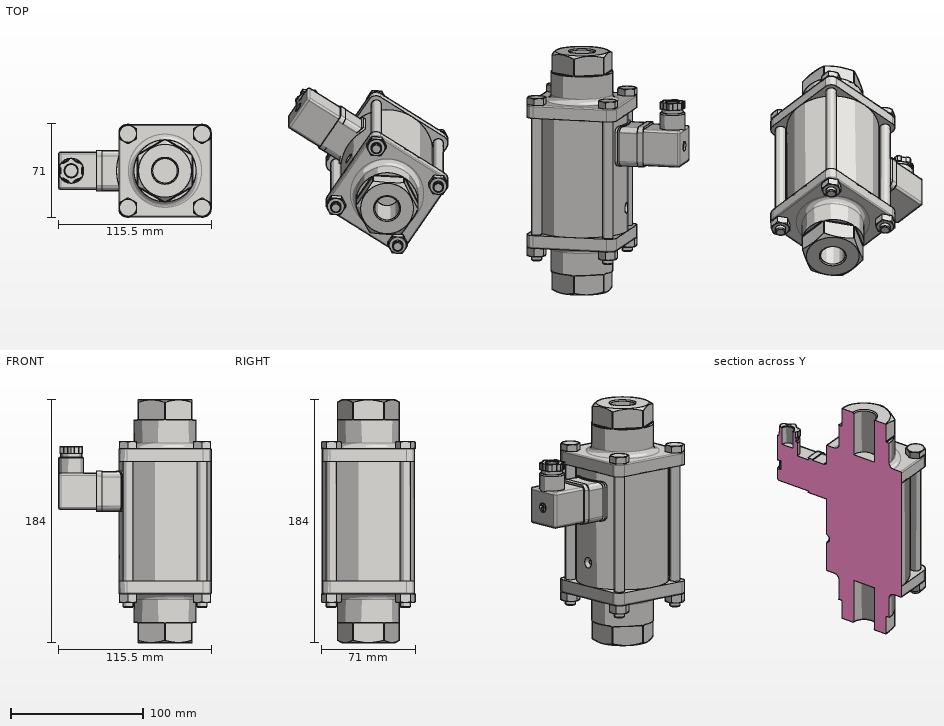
import cadquery as cq
import math


COS_30 = math.cos(math.radians(30))
TAN_30 = math.tan(math.radians(30))

length = 184.0
half_length = length / 2
body_size = 70.0
plate_outer_z = 55.0
plate_inner_z = 45.0
plate_corner = 6.0
plate_edge_fillet = 1.0

neck_diameter = 47.0
neck_root_fillet = 4.2
neck_end_z = 76.4
hex_flats = 41.0
hex_face_diameter = 40.0
hex_root_taper = 0.5
bore_diameter = 18.5
bore_depth = 36.8
bore_chamfer = 1.0

rod_spacing = 56.0
rod_diameter = 8.0
rod_tip_chamfer = 0.7
rod_end_z = -65.1
bolt_flats = 13.0
bolt_corner_diameter = bolt_flats / COS_30
bolt_face_diameter = 12.9
bolt_head_height = 5.3
nut_height = 6.5

connector_z = 22.8
pad_diameter = 73.2
pad_width = 33.9
pad_height = 30.7
flange_inner_x = -47.5
flange_outer_x = -51.9
flange_size = 30.7
base_width = 30.5
base_height = 30.0
base_corner = 4.0
housing_end_x = -80.5
housing_width = 28.3
housing_bottom_z = 8.8
housing_top_z = 36.5
housing_fillet = 1.7

gland_diameter = 19.0
gland_x = housing_end_x + gland_diameter / 2
gland_top_z = 48.5
gland_chamfer = 1.0
gland_neck_diameter = 16.0
gland_nut_bottom_z = 51.3
gland_nut_top_z = 56.5
gland_nut_corners = 19.5
gland_notch_width = 3.7
gland_notch_depth = 0.7
cable_hole_diameter = 9.5
cable_hole_depth = 14.7
cable_hole_chamfer = 0.5

screw_hole_diameter = 7.2
screw_hole_depth = 1.5
screw_slot_width = 1.5
screw_slot_depth = 1.5

vent_z = -26.9
vent_diameter = 8.1
vent_tip_diameter = 3.0


def cylinder(diameter, bottom_z, top_z):
    return cq.Workplane("XY").workplane(offset=bottom_z).circle(diameter / 2).extrude(top_z - bottom_z)


def hexagon(flats, bottom_z, height, taper=0.0):
    """Hexagonal prism with flats facing +X and -X."""
    corners = flats / COS_30
    plane = cq.Workplane("XY").workplane(offset=bottom_z).transformed(rotate=(0, 0, 30))
    return plane.polygon(6, corners).extrude(height, taper=taper)


def bevelled_hexagon(flats, corner_diameter, face_diameter, bottom_z, height):
    """Hexagonal prism with corners turned to a diameter and bevelled to a cone at the top."""
    corner_radius = corner_diameter / 2
    face_radius = face_diameter / 2
    drop = (corner_radius - face_radius) * TAN_30
    turned = (
        cq.Workplane("XZ")
        .moveTo(0, bottom_z)
        .lineTo(corner_radius, bottom_z)
        .lineTo(corner_radius, bottom_z + height - drop)
        .lineTo(face_radius, bottom_z + height)
        .lineTo(0, bottom_z + height)
        .close()
        .revolve(360, (0, 0, 0), (0, 1, 0))
    )
    return hexagon(flats, bottom_z, height).intersect(turned)


def chamfered_hole(diameter, top_z, depth, chamfer):
    """Cutter for a blind hole along Z with a 45 degree chamfer at its mouth."""
    radius = diameter / 2
    return (
        cq.Workplane("XZ")
        .moveTo(0, top_z - depth)
        .lineTo(radius, top_z - depth)
        .lineTo(radius, top_z - chamfer)
        .lineTo(radius + chamfer, top_z)
        .lineTo(0, top_z)
        .close()
        .revolve(360, (0, 0, 0), (0, 1, 0))
    )


def block_x(inner_x, outer_x, width, bottom_z, top_z):
    """Box centred on Y = 0 between two X positions."""
    size_x = inner_x - outer_x
    size_z = top_z - bottom_z
    return cq.Workplane("XY").box(size_x, width, size_z).translate(
        ((inner_x + outer_x) / 2, 0, (bottom_z + top_z) / 2)
    )


def make_body_end():
    """Upper square plate with its neck, wrench hexagon and bore."""
    end = (
        cq.Workplane("XY")
        .workplane(offset=plate_inner_z)
        .rect(body_size, body_size)
        .extrude(plate_outer_z - plate_inner_z)
        .edges("|Z")
        .fillet(plate_corner)
        .faces(">Z")
        .edges()
        .fillet(plate_edge_fillet)
    )
    neck_radius = neck_diameter / 2
    neck = (
        cq.Workplane("XZ")
        .moveTo(0, plate_inner_z)
        .lineTo(neck_radius + neck_root_fillet, plate_inner_z)
        .lineTo(neck_radius + neck_root_fillet, plate_outer_z)
        .radiusArc((neck_radius, plate_outer_z + neck_root_fillet), neck_root_fillet)
        .lineTo(neck_radius, neck_end_z)
        .lineTo(0, neck_end_z)
        .close()
        .revolve(360, (0, 0, 0), (0, 1, 0))
    )
    nut = bevelled_hexagon(hex_flats, neck_diameter, hex_face_diameter, neck_end_z, half_length - neck_end_z)
    root = hexagon(hex_flats + 2 * hex_root_taper, neck_end_z, hex_root_taper, taper=45)
    root = root.intersect(cylinder(neck_diameter, neck_end_z, half_length))
    bore = chamfered_hole(bore_diameter, half_length, bore_depth, bore_chamfer)
    return end.union(neck).union(nut).union(root).cut(bore)


def bolt_hexagon(height):
    """Bolt hexagon standing on the outer face of the upper plate."""
    return bevelled_hexagon(bolt_flats, bolt_corner_diameter, bolt_face_diameter, plate_outer_z, height)


def make_tie_rod():
    """Bolt along Z with its head above the upper plate and its nut below the lower one."""
    rod = cylinder(rod_diameter, rod_end_z, plate_outer_z).faces("<Z").chamfer(rod_tip_chamfer)
    head = bolt_hexagon(bolt_head_height)
    nut = bolt_hexagon(nut_height).mirror("XY")
    return rod.union(head).union(nut)


def make_connector():
    """Pad, base, flange and housing of the plug on the -X side."""
    pad = cylinder(pad_diameter, 0, half_length).intersect(
        block_x(0, -body_size, pad_width, connector_z - pad_height / 2, connector_z + pad_height / 2)
        .edges("|X")
        .fillet(base_corner)
    )
    flange_bottom_z = connector_z - flange_size / 2
    base = (
        block_x(0, flange_inner_x, base_width, flange_bottom_z, flange_bottom_z + base_height)
        .edges("|X")
        .fillet(base_corner)
    )
    flange = (
        block_x(flange_inner_x, flange_outer_x, flange_size, flange_bottom_z, flange_bottom_z + flange_size)
        .edges("|X")
        .fillet(base_corner)
    )
    housing = (
        block_x(flange_outer_x, housing_end_x, housing_width, housing_bottom_z, housing_top_z)
        .edges("|X or <X")
        .fillet(housing_fillet)
    )
    return pad.union(base).union(flange).union(housing)


def make_gland():
    """Cable gland standing on the housing, with a notched hexagonal nut."""
    barrel = cylinder(gland_diameter, connector_z, gland_top_z).faces(">Z").chamfer(gland_chamfer)
    neck = cylinder(gland_neck_diameter, gland_top_z, gland_nut_bottom_z)
    nut_flats = gland_nut_corners * COS_30
    gland_nut_height = gland_nut_top_z - gland_nut_bottom_z
    nut = hexagon(nut_flats, gland_nut_bottom_z, gland_nut_height)
    notches = (
        cq.Workplane("XY")
        .workplane(offset=gland_nut_bottom_z)
        .polarArray(nut_flats / 2, 0, 360, 6)
        .rect(2 * gland_notch_depth, gland_notch_width)
        .extrude(gland_nut_height)
    )
    hole = chamfered_hole(cable_hole_diameter, gland_nut_top_z, cable_hole_depth, cable_hole_chamfer)
    gland = barrel.union(neck).union(nut.cut(notches)).cut(hole)
    return gland.translate((gland_x, 0, 0))


def make_screw_recess():
    """Round recess with a cross slot in its floor, on the end face of the housing."""
    face = cq.Workplane("YZ", origin=(housing_end_x, 0, connector_z))
    recess = face.circle(screw_hole_diameter / 2).extrude(screw_hole_depth)
    depth = screw_hole_depth + screw_slot_depth
    slot_a = face.rect(screw_hole_diameter, screw_slot_width).extrude(depth)
    slot_b = face.rect(screw_slot_width, screw_hole_diameter).extrude(depth)
    slots = slot_a.union(slot_b).intersect(face.circle(screw_hole_diameter / 2).extrude(depth))
    return recess.union(slots)


def make_vent():
    """Conical 90 degree hole pointing into the tube wall."""
    mouth_x = -body_size / 2
    tip_x = mouth_x + (vent_diameter - vent_tip_diameter) / 2
    return (
        cq.Workplane("XZ")
        .moveTo(mouth_x, vent_z)
        .lineTo(mouth_x, vent_z + vent_diameter / 2)
        .lineTo(tip_x, vent_z + vent_tip_diameter / 2)
        .lineTo(tip_x, vent_z)
        .close()
        .revolve(360, (mouth_x, vent_z, 0), (0, vent_z, 0))
    )


body_end = make_body_end()
result = cylinder(body_size, -plate_inner_z, plate_inner_z)
result = result.union(body_end).union(body_end.mirror("XY"))
tie_rod = make_tie_rod()
for x_side in (-1, 1):
    for y_side in (-1, 1):
        result = result.union(tie_rod.translate((x_side * rod_spacing / 2, y_side * rod_spacing / 2, 0)))
result = result.union(make_connector()).union(make_gland())
result = result.cut(make_screw_recess()).cut(make_vent())